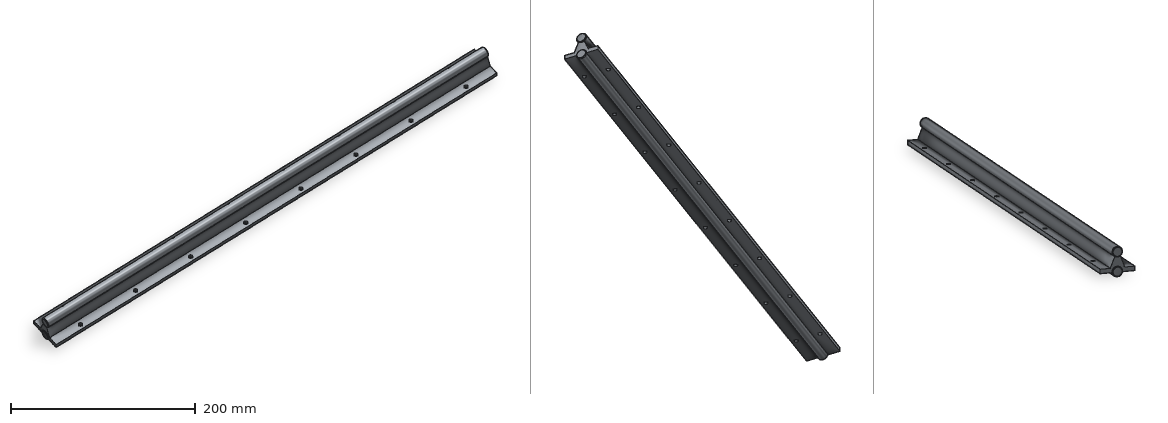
import cadquery as cq

length = 600.0
rod_diameter = 12.0
rod_end_chamfer = 0.9
overall_height = 34.0
flange_width = 40.0
flange_bottom = 5.5
flange_thickness = 5.1
web_top_width = 2.5
web_foot_width = 17.0
hole_diameter = 4.5
hole_count = 8
hole_pitch = 75.0
hole_row_spacing = 29.0

rod_radius = rod_diameter / 2
lower_rod_height = rod_radius
upper_rod_height = overall_height - rod_radius
flange_top = flange_bottom + flange_thickness


def make_rod(center_height):
    """Round bar along Y with chamfered ends, centred on the origin in X and Y."""
    return (
        cq.Workplane("XZ", origin=(0, length / 2, center_height))
        .circle(rod_radius)
        .extrude(length)
        .edges("%CIRCLE")
        .chamfer(rod_end_chamfer)
    )


def make_support_blank():
    """Flat flange carrying a tapered web that reaches into the upper rod."""
    return (
        cq.Workplane("XZ", origin=(0, length / 2, 0))
        .moveTo(-flange_width / 2, flange_bottom)
        .lineTo(flange_width / 2, flange_bottom)
        .lineTo(flange_width / 2, flange_top)
        .lineTo(web_foot_width / 2, flange_top)
        .lineTo(web_top_width / 2, upper_rod_height)
        .lineTo(-web_top_width / 2, upper_rod_height)
        .lineTo(-web_foot_width / 2, flange_top)
        .lineTo(-flange_width / 2, flange_top)
        .close()
        .extrude(length)
    )


def make_mounting_holes():
    """Cutters for the two rows of holes through the flange."""
    return (
        cq.Workplane("XY", origin=(0, 0, flange_bottom))
        .rarray(hole_row_spacing, hole_pitch, 2, hole_count)
        .circle(hole_diameter / 2)
        .extrude(flange_thickness)
    )


def make_support(rods):
    """Support rail with a matching seat for each rod and its mounting holes."""
    support = make_support_blank().cut(make_mounting_holes())
    for rod in rods:
        support = support.cut(rod)
    return support


rods = []
for center_height in (lower_rod_height, upper_rod_height):
    rods.append(make_rod(center_height))

support = make_support(rods)

result = cq.Compound.makeCompound([support.val(), *[rod.val() for rod in rods]])